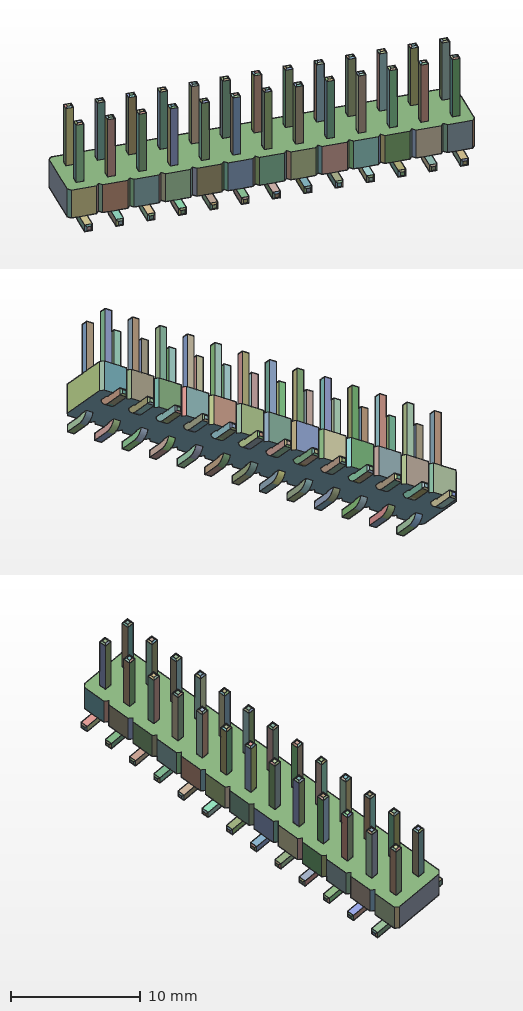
import cadquery as cq

ROWS = 13
HEADER_LENGTH = 33.02
BODY_HEIGHT = 2.55
TOTAL_WIDTH = 7.53
TOTAL_HEIGHT = 8.55
PIN_SIZE = 0.63
LEG_GAP = 0.085
BEND_INNER_RADIUS = 0.43
TIP_INSET = 0.152
TIP_HEIGHT = 0.1
CORNER_DEPTH = 0.3
CORNER_LENGTH = 0.25

PITCH = HEADER_LENGTH / ROWS
BODY_WIDTH = 2 * PITCH
BODY_BOTTOM = PIN_SIZE + LEG_GAP
BEND_OUTER_RADIUS = BEND_INNER_RADIUS + PIN_SIZE
PIN_X = PITCH / 2
FOOT_END_X = TOTAL_WIDTH / 2
BEND_CENTER_X = PIN_X + PIN_SIZE / 2 + BEND_INNER_RADIUS


def row_positions():
    """Y of each row centre, from front to back."""
    return [(row - (ROWS - 1) / 2) * PITCH for row in range(ROWS)]


def body_segment(y):
    """One insulator block with its four upright corners cut off."""
    half_width = BODY_WIDTH / 2
    half_length = PITCH / 2
    flat_x = half_width - CORNER_DEPTH
    flat_y = half_length - CORNER_LENGTH
    outline = [
        (flat_x, half_length),
        (half_width, flat_y),
        (half_width, -flat_y),
        (flat_x, -half_length),
        (-flat_x, -half_length),
        (-half_width, -flat_y),
        (-half_width, flat_y),
        (-flat_x, half_length),
    ]
    return cq.Workplane("XY", origin=(0, y, BODY_BOTTOM)).polyline(outline).close().extrude(BODY_HEIGHT)


def tapered_tip(plane):
    """Pyramid frustum closing a square pin, growing along the plane's normal."""
    tip_size = PIN_SIZE - 2 * TIP_INSET
    return (
        cq.Workplane(plane)
        .rect(PIN_SIZE, PIN_SIZE)
        .workplane(offset=TIP_HEIGHT)
        .rect(tip_size, tip_size)
        .loft(ruled=True)
    )


def right_pin():
    """Upright pin bent outward (+X) into a foot, centred on Y = 0."""
    inner_x = PIN_X - PIN_SIZE / 2
    outer_x = PIN_X + PIN_SIZE / 2
    shaft_top = TOTAL_HEIGHT - TIP_HEIGHT
    foot_end = FOOT_END_X - TIP_HEIGHT
    bent_bar = (
        cq.Workplane("XZ")
        .moveTo(inner_x, shaft_top)
        .lineTo(inner_x, BEND_OUTER_RADIUS)
        .radiusArc((BEND_CENTER_X, 0), -BEND_OUTER_RADIUS)
        .lineTo(foot_end, 0)
        .lineTo(foot_end, PIN_SIZE)
        .lineTo(BEND_CENTER_X, PIN_SIZE)
        .radiusArc((outer_x, BEND_OUTER_RADIUS), BEND_INNER_RADIUS)
        .lineTo(outer_x, shaft_top)
        .close()
        .extrude(PIN_SIZE / 2, both=True)
    )
    top_tip = tapered_tip(cq.Plane(origin=(PIN_X, 0, shaft_top)))
    foot_tip = tapered_tip(cq.Plane(origin=(foot_end, 0, PIN_SIZE / 2), xDir=(0, 1, 0), normal=(1, 0, 0)))
    return bent_bar.union(top_tip).union(foot_tip)


def body():
    """Row of insulator blocks joined into one bar, notched between rows."""
    rows = row_positions()
    bar = body_segment(rows[0])
    for y in rows[1:]:
        bar = bar.union(body_segment(y))
    return bar.clean()


right_side_pin = right_pin()
left_side_pin = right_side_pin.mirror("YZ")

result = body()
for row_y in row_positions():
    for pin in (right_side_pin, left_side_pin):
        result = result.union(pin.translate((0, row_y, 0)))